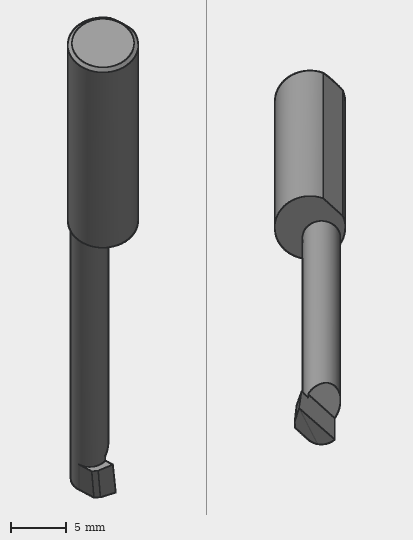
import cadquery as cq

total_length = 63.5

shank_radius = 3.2
shank_length = 25.4
shank_bottom = total_length - shank_length
flat_offset = 2.9
chamfer_inset = 0.4
chamfer_height = 0.25

neck_radius = 1.7
neck_x = neck_radius - shank_radius

relief_height = 4.45
relief_rise = 1.6

tooth_height = 3.8
tip_x = 1.4
flank_corner_x = 0.65
flank_corner_y = -1.35
back_corner_x = 0.2
tip_lean = 0.3
corner_lean = 0.25

side_clearance = 0.2
back_clearance = 0.2


def make_shank():
    """Round shank with a chamfered top edge and a flat on its +Y side."""
    body = cq.Workplane("XY").workplane(offset=shank_bottom).circle(shank_radius).extrude(shank_length)
    body = body.faces(">Z").chamfer(chamfer_height, chamfer_inset)
    flat_cutter = cq.Workplane("XY").box(
        2 * shank_radius, shank_radius, total_length, centered=(True, False, False)
    )
    return body.cut(flat_cutter.translate((0, flat_offset, 0)))


def make_neck():
    """Slender neck with the sloped relief down to its half-round end."""
    body = cq.Workplane("XY").center(neck_x, 0).circle(neck_radius).extrude(shank_bottom)
    relief = (
        cq.Workplane("YZ")
        .polyline([
            (0, 0),
            (neck_radius, 0),
            (neck_radius, relief_height + relief_rise),
            (0, relief_height),
        ])
        .close()
        .extrude(shank_radius, both=True)
    )
    return body.cut(relief)


def tooth_outline(tip_shift, corner_shift):
    """Tooth section with its outer corners moved towards -X."""
    return [
        (neck_x, 0),
        (neck_x, -neck_radius),
        (back_corner_x - corner_shift, -neck_radius),
        (flank_corner_x - corner_shift, flank_corner_y),
        (tip_x - tip_shift, 0),
    ]


def make_tooth():
    """Tooth tapering from the cutting tip up to its flat top."""
    return (
        cq.Workplane("XY")
        .polyline(tooth_outline(0, 0))
        .close()
        .workplane(offset=tooth_height)
        .polyline(tooth_outline(tip_lean, corner_lean))
        .close()
        .loft(ruled=True)
    )


def make_end_clearance():
    """Wedges that relieve the lower end towards -X and towards -Y."""
    side_wedge = (
        cq.Workplane("XZ")
        .polyline([(tip_x, 0), (-shank_radius, 0), (-shank_radius, side_clearance)])
        .close()
        .extrude(shank_radius, both=True)
    )
    back_wedge = (
        cq.Workplane("YZ")
        .polyline([(0, 0), (-neck_radius, 0), (-neck_radius, back_clearance)])
        .close()
        .extrude(shank_radius, both=True)
    )
    return side_wedge.union(back_wedge)


lower_end = make_neck().union(make_tooth()).cut(make_end_clearance())
result = make_shank().union(lower_end)